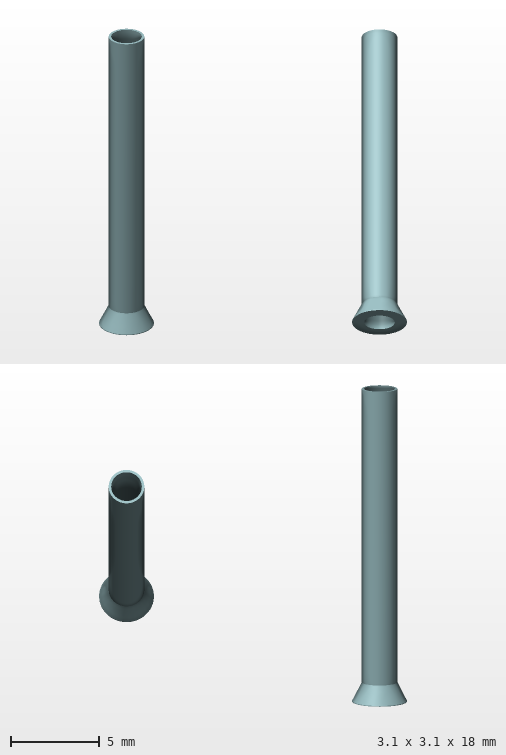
import cadquery as cq

total_height = 18.0
tube_radius = 1.0
wall = 0.15
bore_radius = tube_radius - wall

foot_radius = 1.55
foot_height = 1.12
rim_height = 0.045

half_section = (
    cq.Workplane("XZ")
    .moveTo(bore_radius, 0)
    .lineTo(foot_radius, 0)
    .lineTo(foot_radius, rim_height)
    .lineTo(tube_radius, foot_height)
    .lineTo(tube_radius, total_height)
    .lineTo(bore_radius, total_height)
    .close()
)

result = half_section.revolve(360, (0, 0, 0), (0, 1, 0))